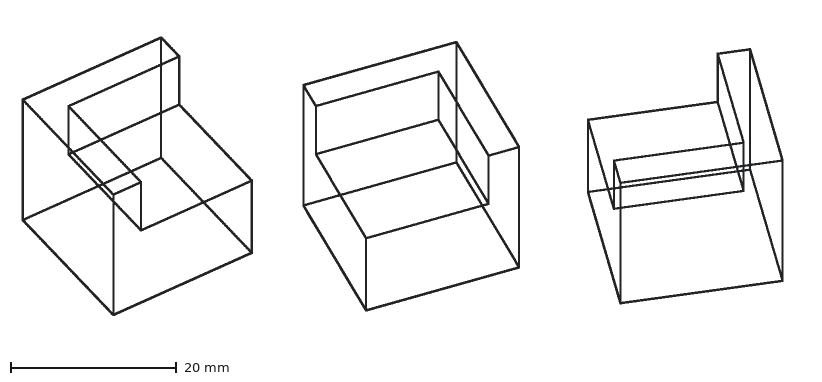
import cadquery as cq

side = 20.0
wall = 4.0
floor_height = 12.0

cube = cq.Workplane("XY").box(side, side, side, centered=False)

pocket_side = side - wall
pocket_depth = side - floor_height
pocket = (
    cq.Workplane("XY")
    .box(pocket_side, pocket_side, pocket_depth, centered=False)
    .translate((wall, wall, floor_height))
)

result = cube.cut(pocket)